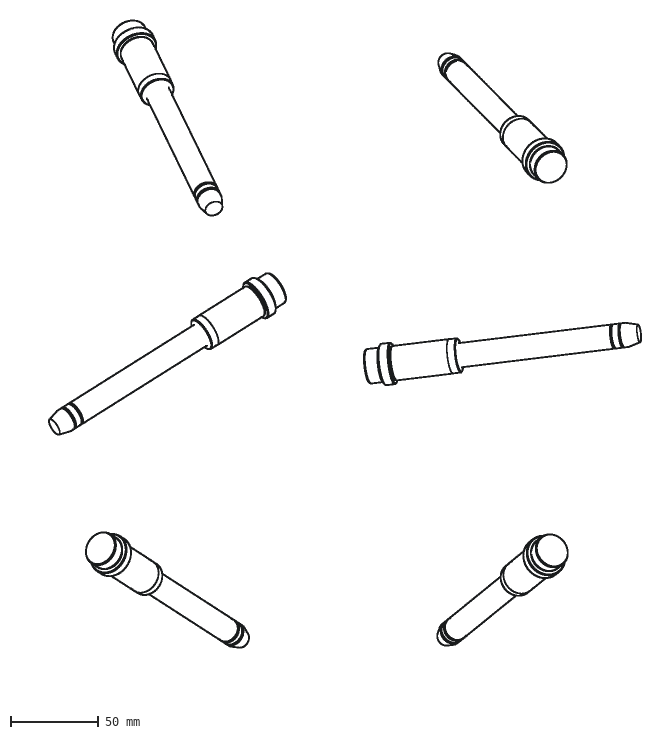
import cadquery as cq
import math

total_length = 160.0
flange_start = 9.0
flange_end = 15.0
body_end = 54.0
lead_length = 5.0
tip_length = 7.0

flange_diameter = 24.0
body_diameter = 20.0
lead_diameter = 19.8
shank_diameter = 14.0

edge_chamfer = 0.5
head_chamfer_length = 0.8
shank_fillet = 0.5
groove_width = 1.0
groove_depth = 0.5
tapered_relief_depth = 0.3
last_shank_groove_start = 149.5
shank_groove_pitch = 5.0
shank_groove_count = 2
tip_half_angle = 15.0


def cylinder(start, end, diameter):
    """Solid cylinder on the X axis between two stations."""
    return cq.Workplane("YZ", origin=(start, 0, 0)).circle(diameter / 2).extrude(end - start)


def cone(start, end, start_diameter, end_diameter):
    """Solid truncated cone on the X axis between two stations."""
    return cq.Workplane(
        cq.Solid.makeCone(
            start_diameter / 2, end_diameter / 2, end - start, cq.Vector(start, 0, 0), cq.Vector(1, 0, 0)
        )
    )


def cut_groove(part, start, diameter):
    """Turn a square groove into a cylindrical surface of the given diameter."""
    outer = cylinder(start, start + groove_width, diameter)
    core = cylinder(start, start + groove_width, diameter - 2 * groove_depth)
    return part.cut(outer.cut(core))


def make_head():
    """Short cylinder with a shallow bevel at its end and a square relief before the flange."""
    bevel = cone(0, head_chamfer_length, body_diameter - 2 * edge_chamfer, body_diameter)
    head = bevel.union(cylinder(head_chamfer_length, flange_start, body_diameter))
    return cut_groove(head, flange_start - groove_width, body_diameter)


def make_flange():
    """Collar with both rims chamfered."""
    flange = cylinder(flange_start, flange_end, flange_diameter)
    return flange.faces("<X or >X").chamfer(edge_chamfer)


def make_body():
    """Long cylinder with a tapered relief behind the flange and a slightly reduced lead."""
    relief_end = flange_end + groove_width
    lead_start = body_end - lead_length
    relief = cone(flange_end, relief_end, body_diameter - 2 * tapered_relief_depth, body_diameter)
    main = cylinder(relief_end, lead_start, body_diameter)
    lead = cylinder(lead_start, body_end, lead_diameter).faces(">X").chamfer(edge_chamfer)
    return relief.union(main).union(lead)


def make_shank():
    """Slim rod with two square grooves and a conical tip."""
    tip_start = total_length - tip_length
    tip_diameter = shank_diameter - 2 * tip_length * math.tan(math.radians(tip_half_angle))
    shank = cylinder(body_end, tip_start, shank_diameter)
    for index in range(shank_groove_count):
        groove_start = last_shank_groove_start - index * shank_groove_pitch
        shank = cut_groove(shank, groove_start, shank_diameter)
    return shank.union(cone(tip_start, total_length, shank_diameter, tip_diameter))


def make_shank_fillet():
    """Concave ring that blends the shank into the end face of the body."""
    shank_radius = shank_diameter / 2
    fillet_end = body_end + shank_fillet
    return (
        cq.Workplane("XY")
        .moveTo(body_end, shank_radius - shank_fillet)
        .lineTo(body_end, shank_radius + shank_fillet)
        .radiusArc((fillet_end, shank_radius), -shank_fillet)
        .lineTo(fillet_end, shank_radius - shank_fillet)
        .close()
        .revolve(360, (0, 0, 0), (1, 0, 0))
    )


result = make_head().union(make_flange()).union(make_body()).union(make_shank()).union(make_shank_fillet())